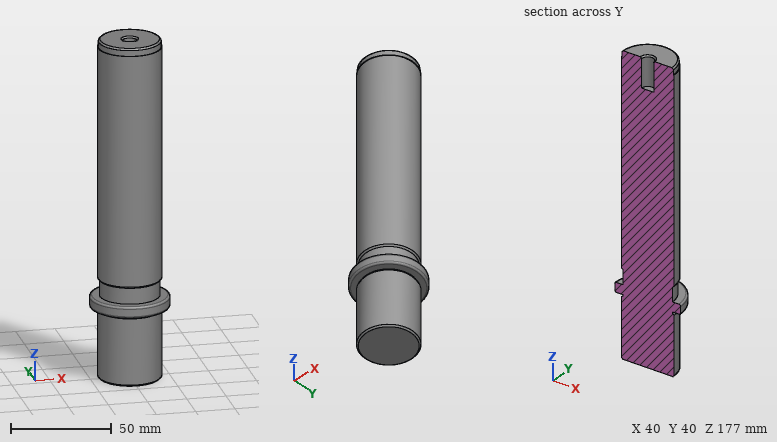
import cadquery as cq

total_length = 177.0
shank_length = 36.5
flange_bottom = 37.0
flange_thickness = 6.0
neck_length = 8.3
lead_length = 3.9

shank_diameter = 32.0
neck_diameter = 30.3
flange_diameter = 40.0
lead_diameter = 31.3
hole_diameter = 7.0
hole_mouth_diameter = 8.7

shank_chamfer = (shank_diameter - neck_diameter) / 2
flange_edge_radius = 1.0
lead_chamfer = 0.9
hole_depth = 17.7

flange_top = flange_bottom + flange_thickness
guide_bottom = flange_top + neck_length
guide_length = total_length - lead_length - guide_bottom


def cylinder(diameter, bottom, length):
    """Solid cylinder on the Z axis, starting at height bottom."""
    return cq.Workplane("XY").workplane(offset=bottom).circle(diameter / 2).extrude(length)


shank = cylinder(shank_diameter, 0, shank_length).edges().chamfer(shank_chamfer)

flange = cylinder(flange_diameter, flange_bottom, flange_thickness).edges().fillet(flange_edge_radius)

neck = cylinder(neck_diameter, shank_length, guide_bottom - shank_length)

guide = cylinder(shank_diameter, guide_bottom, guide_length).faces("<Z").edges().chamfer(shank_chamfer)

lead = cylinder(lead_diameter, total_length - lead_length, lead_length).faces(">Z").edges().chamfer(lead_chamfer)

pin = shank.union(flange).union(neck).union(guide).union(lead)

mouth_chamfer = (hole_mouth_diameter - hole_diameter) / 2
hole = cylinder(hole_diameter, total_length - hole_depth, hole_depth)
mouth = (
    cq.Workplane("XY")
    .workplane(offset=total_length - mouth_chamfer)
    .circle(hole_diameter / 2)
    .workplane(offset=mouth_chamfer)
    .circle(hole_mouth_diameter / 2)
    .loft()
)
result = pin.cut(hole).cut(mouth)